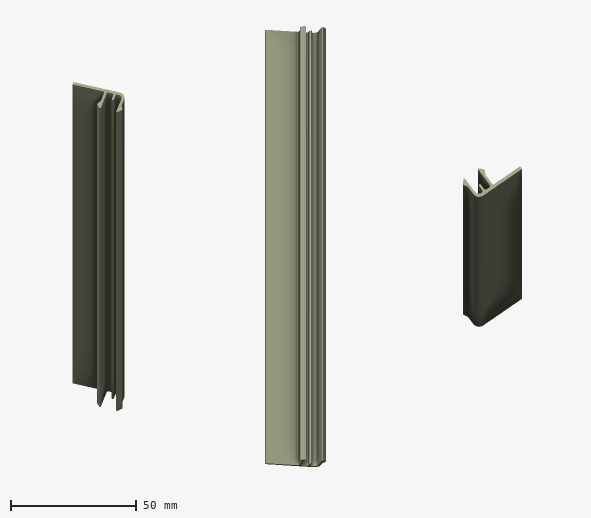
import cadquery as cq

length = 180.0
width = 22.9
depth = 10.3

plate_thickness = 1.35
leg_thickness = 1.0
rib_thickness = 0.9

hook_reach = 0.9
hook_start = 6.5
hook_tip_start = 8.1
hook_tip_end = 8.6
leg_end_width = 0.5

left_leg_inner = 14.4
rib_center = 17.6
rib_depth = 4.7

corner_radius = 2.9
inner_corner_radius = corner_radius - leg_thickness
root_radius = 0.5

right_leg_outer = width - hook_reach
right_leg_inner = right_leg_outer - leg_thickness
left_leg_outer = left_leg_inner - leg_thickness


def extrude(sketch):
    return sketch.close().extrude(length)


def make_plate():
    """Flat flange, with its back face at Y = 0."""
    return cq.Workplane("XY").box(
        right_leg_outer, plate_thickness, length, centered=False
    ).translate((0, -plate_thickness, 0))


def make_leg(inner_x, outward):
    """Leg with a pointed hook facing the given X direction."""
    outer_x = inner_x + outward * leg_thickness
    tip_x = outer_x + outward * hook_reach
    end_x = inner_x + outward * leg_end_width
    return extrude(
        cq.Workplane("XY")
        .moveTo(inner_x, 0)
        .lineTo(outer_x, 0)
        .lineTo(outer_x, -hook_start)
        .lineTo(tip_x, -hook_tip_start)
        .lineTo(tip_x, -hook_tip_end)
        .lineTo(end_x, -depth)
        .lineTo(inner_x, -depth)
    )


def make_rib():
    """Short round-ended rib between the legs."""
    half = rib_thickness / 2
    return extrude(
        cq.Workplane("XY")
        .moveTo(rib_center - half, 0)
        .lineTo(rib_center - half, half - rib_depth)
        .threePointArc((rib_center, -rib_depth), (rib_center + half, half - rib_depth))
        .lineTo(rib_center + half, 0)
    )


def round_edge(body, x, y, radius):
    """Round the lengthwise edge nearest to the point (x, y)."""
    edge = cq.selectors.NearestToPointSelector((x, y, length / 2))
    return body.edges("|Z").edges(edge).fillet(radius)


result = (
    make_plate()
    .union(make_leg(left_leg_inner, -1))
    .union(make_leg(right_leg_inner, 1))
    .union(make_rib())
)

result = round_edge(result, right_leg_outer, 0, corner_radius)
result = round_edge(result, right_leg_inner, -plate_thickness, inner_corner_radius)

root_positions = (
    left_leg_outer,
    left_leg_inner,
    rib_center - rib_thickness / 2,
    rib_center + rib_thickness / 2,
)
for root_x in root_positions:
    result = round_edge(result, root_x, -plate_thickness, root_radius)